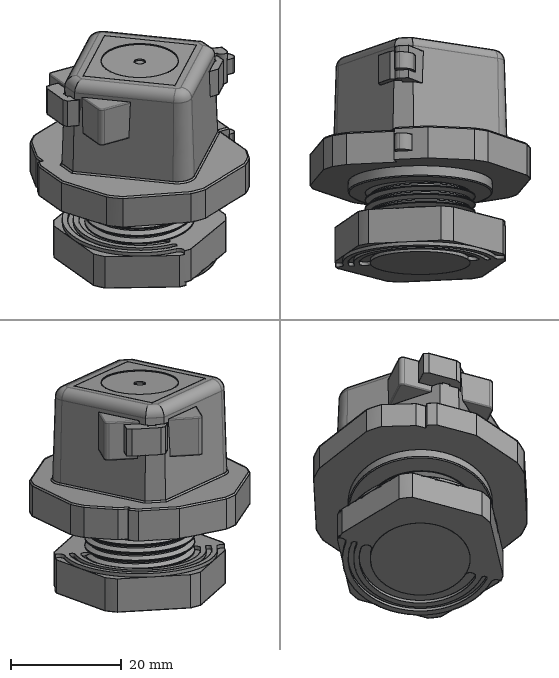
import cadquery as cq
import math

nut_height = 7.0
thread_length = 6.0
collar_height = 1.95
flange_height = 6.0
total_height = 38.7
collar_bottom = nut_height + thread_length
flange_bottom = collar_bottom + collar_height
flange_top = flange_bottom + flange_height

flange_radius = 20.0
flange_apothem = 19.0
flange_chamfer = 0.3
flange_front_y = -19.0
flange_back_y = 18.4
back_step_x = 1.05
back_step_y = 16.3
front_notch_x = -5.45
front_notch_y = -17.55

collar_radius = 13.0
collar_chamfer = 0.2
thread_radius = 9.9
thread_depth = 0.9
thread_root_radius = thread_radius - thread_depth
visible_turns = 4
thread_pitch = thread_length / visible_turns
thread_crest_width = thread_pitch / 8
thread_flank_angle = 30.0
thread_crest_z = 11.5
thread_overlap = 0.1

cap_half_width = 12.2
cap_flat_y = 15.35
cap_corner_radius = 3.2
cap_draft_angle = 1.8
cap_top_fillet = 2.0
cap_foot = 0.3
cap_foot_angle = 45.0

plate_side = 17.0
plate_thickness = 0.5
plate_recess_diameter = 13.9
plate_recess_depth = 0.2
plate_hole_diameter = 2.0

guard_half_span = 9.0
guard_front_y = -13.9
guard_bottom = 28.9
guard_top = 36.1
guard_corner_radius = 0.8
guard_edge_fillet = 0.2

catch_bottom = 30.4
catch_top = 35.5
hook_bottom = 30.0
hook_top = 36.0
knob_height = 3.0
knob_right_x = 0.8

nut_apothem = 14.0
nut_corner_radius = 15.5
groove_depth = 0.7
narrow_groove_width = 1.0
wide_groove_width = 2.0
grooves = [(9.0, wide_groove_width), (12.0, narrow_groove_width), (14.0, wide_groove_width)]


def disc(radius, bottom, height):
    return cq.Workplane("XY").workplane(offset=bottom).circle(radius).extrude(height)


def corner_cut_polygon(sides, apothem, corner_radius, bottom, height):
    """Regular prism with a corner on +X, its corners turned to a cylinder."""
    across_corners = 2 * apothem / math.cos(math.pi / sides)
    prism = cq.Workplane("XY").workplane(offset=bottom).polygon(sides, across_corners).extrude(height)
    return prism.intersect(disc(corner_radius, bottom, height))


def flange_cutter(x_min, x_max, y_min, y_max):
    size = (x_max - x_min, y_max - y_min, flange_height)
    corner = (x_min, y_min, flange_bottom)
    return cq.Workplane("XY").box(*size, centered=False).translate(corner)


def make_flange():
    outer = 2 * flange_radius
    flange = corner_cut_polygon(8, flange_apothem, flange_radius, flange_bottom, flange_height)
    flange = flange.cut(flange_cutter(-outer, outer, -outer, flange_front_y))
    flange = flange.cut(flange_cutter(-outer, front_notch_x, -outer, front_notch_y))
    flange = flange.cut(flange_cutter(-outer, outer, flange_back_y, outer))
    flange = flange.cut(flange_cutter(back_step_x, outer, back_step_y, outer))
    return flange.faces(">Z").chamfer(flange_chamfer)


def make_collar():
    collar = disc(collar_radius, collar_bottom, collar_height)
    return collar.faces("<Z").chamfer(collar_chamfer)


def make_shank():
    """Shank with a right-hand thread from the collar to the groove floor of the nut, plain below."""
    ridge_foot_radius = thread_root_radius - thread_overlap
    flank_rise = (thread_radius - ridge_foot_radius) * math.tan(math.radians(thread_flank_angle))
    half_crest = thread_crest_width / 2
    half_foot = half_crest + flank_rise
    top = collar_bottom + thread_overlap
    bottom = nut_height - groove_depth
    helix_start = thread_crest_z - (visible_turns + 1) * thread_pitch
    helix_height = (visible_turns + 3) * thread_pitch
    helix = cq.Workplane(obj=cq.Wire.makeHelix(thread_pitch, helix_height, thread_root_radius))
    ridge = (
        cq.Workplane("XZ")
        .polyline([
            (ridge_foot_radius, -half_foot),
            (thread_radius, -half_crest),
            (thread_radius, half_crest),
            (ridge_foot_radius, half_foot),
        ])
        .close()
        .sweep(helix, isFrenet=True)
        .translate((0, 0, helix_start))
    )
    threaded = disc(thread_root_radius, bottom - thread_pitch, top - bottom + 2 * thread_pitch).union(ridge)
    threaded = threaded.intersect(disc(2 * thread_radius, bottom, top - bottom))
    return threaded.union(disc(thread_root_radius, 0, bottom))


def cap_outline(margin):
    """Square on its corner, grown by a margin: rounded toward +X and -X, cut flat toward +Y and -Y."""
    corner_radius = cap_corner_radius + margin
    flat_y = cap_flat_y + margin
    vertex = (cap_half_width + margin) * math.sqrt(2)
    flat_x = vertex - flat_y
    round_y = corner_radius / math.sqrt(2)
    round_x = vertex - round_y
    tip_x = vertex - corner_radius * (math.sqrt(2) - 1)
    return (
        cq.Workplane("XY")
        .workplane(offset=flange_top)
        .moveTo(flat_x, flat_y)
        .lineTo(round_x, round_y)
        .threePointArc((tip_x, 0), (round_x, -round_y))
        .lineTo(flat_x, -flat_y)
        .lineTo(-flat_x, -flat_y)
        .lineTo(-round_x, -round_y)
        .threePointArc((-tip_x, 0), (-round_x, round_y))
        .lineTo(-flat_x, flat_y)
        .close()
    )


def make_cap():
    cap = cap_outline(0).extrude(total_height - flange_top, taper=cap_draft_angle)
    cap = cap.faces(">Z").edges().fillet(cap_top_fillet)
    foot = cap_outline(cap_foot).extrude(cap_foot, taper=cap_foot_angle)
    return cap.union(foot)


def make_guards():
    """Two blocks beside the front corner, formed by one bar passing through the cap."""
    height = guard_top - guard_bottom
    bar = (
        cq.Workplane("XY")
        .box(2 * guard_half_span, -guard_front_y, height, centered=(True, False, False))
        .translate((0, guard_front_y, guard_bottom))
    )
    bar = bar.edges("|Z and <Y").fillet(guard_corner_radius)
    bar = bar.faces("<Z or >Z").edges().fillet(guard_edge_fillet)
    half_depth = guard_half_span
    keep = (
        cq.Workplane("XY")
        .workplane(offset=guard_bottom)
        .polyline([(-half_depth, 2 * guard_front_y), (half_depth, 2 * guard_front_y),
                   (half_depth, -4), (0, 0), (-half_depth, -4)])
        .close()
        .extrude(height)
    )
    return bar.intersect(keep)


def make_front_catch():
    """Strap across the front corner with a slit behind it."""
    outline = [
        (-5.5, -12.0), (-5.5, -16.4), (-4.5, -16.8), (0.8, -16.8), (1.65, -16.4), (2.45, -14.4),
        (2.45, -12.0), (0.1, -12.0), (0.1, -15.35), (-1.3, -15.35), (-1.3, -12.0),
    ]
    strap = cq.Workplane("XY").workplane(offset=catch_bottom).polyline(outline).close()
    return strap.extrude(catch_top - catch_bottom)


def make_back_catch():
    """Strap over the back corner, standing clear of the corner flat."""
    outline = [
        (0.1, 16.35), (2.25, 16.35), (4.9, 13.65), (4.9, 11.2), (1.75, 14.4), (1.75, 15.1), (0.1, 15.1),
    ]
    strap = cq.Workplane("XY").workplane(offset=catch_bottom).polyline(outline).close()
    return strap.extrude(catch_top - catch_bottom)


def make_hook():
    """Round-nosed hook at the back corner of the cap."""
    return (
        cq.Workplane("XY")
        .workplane(offset=hook_bottom)
        .moveTo(-3.6, 12.4)
        .lineTo(-1.55, flange_back_y)
        .lineTo(0.1, flange_back_y)
        .threePointArc((1.05, 17.35), (0.1, 16.35))
        .lineTo(0.1, 12.4)
        .close()
        .extrude(hook_top - hook_bottom)
    )


def make_knob(middle_z):
    """Domed knob pointing backward, rooted in the hook or in the flange."""
    return (
        cq.Workplane("XY")
        .workplane(offset=middle_z - knob_height / 2)
        .moveTo(-2.0, 16.0)
        .lineTo(-2.45, 16.4)
        .lineTo(-2.45, 17.6)
        .threePointArc((-1.65, 19.35), (-0.25, flange_radius))
        .threePointArc((0.55, 19.7), (knob_right_x, 19.15))
        .lineTo(knob_right_x, 17.6)
        .close()
        .extrude(knob_height)
    )


def make_housing(shank):
    housing = make_flange().union(make_collar()).union(shank)
    housing = housing.union(make_cap())
    housing = housing.union(make_guards())
    housing = housing.union(make_front_catch())
    housing = housing.union(make_hook()).union(make_back_catch())
    for middle_z in ((hook_bottom + hook_top) / 2, (flange_bottom + flange_top) / 2):
        housing = housing.union(make_knob(middle_z))
    return housing.cut(plate_blank())


def plate_blank():
    return (
        cq.Workplane("XY")
        .rect(plate_side, plate_side)
        .extrude(plate_thickness)
        .rotate((0, 0, 0), (0, 0, 1), 45)
        .translate((0, 0, total_height - plate_thickness))
    )


def make_label_plate():
    recess = disc(plate_recess_diameter / 2, total_height - plate_recess_depth, plate_recess_depth)
    hole = disc(plate_hole_diameter / 2, total_height - plate_thickness, plate_thickness)
    return plate_blank().cut(recess).cut(hole)


def nut_groove(inner_radius, width):
    """Half-ring groove with round ends that touch the XZ plane."""
    middle_radius = inner_radius + width / 2
    outer_radius = inner_radius + width
    end_angle = math.asin(width / 2 / middle_radius)
    cos_end = math.cos(end_angle)
    sin_end = math.sin(end_angle)
    tip_x = middle_radius * cos_end + width / 2 * sin_end
    tip_y = width / 2 * cos_end - middle_radius * sin_end
    return (
        cq.Workplane("XY")
        .workplane(offset=nut_height - groove_depth)
        .moveTo(-outer_radius * cos_end, -outer_radius * sin_end)
        .threePointArc((0, -outer_radius), (outer_radius * cos_end, -outer_radius * sin_end))
        .threePointArc((tip_x, tip_y), (inner_radius * cos_end, -inner_radius * sin_end))
        .threePointArc((0, -inner_radius), (-inner_radius * cos_end, -inner_radius * sin_end))
        .threePointArc((-tip_x, tip_y), (-outer_radius * cos_end, -outer_radius * sin_end))
        .close()
        .extrude(groove_depth)
    )


def make_nut(shank):
    """Hexagon nut, grooved on top and, turned over about X, on the underside."""
    nut = corner_cut_polygon(6, nut_apothem, nut_corner_radius, 0, nut_height)
    middle = nut_height / 2
    for inner_radius, width in grooves:
        groove = nut_groove(inner_radius, width)
        nut = nut.cut(groove)
        nut = nut.cut(groove.rotate((0, 0, middle), (1, 0, middle), 180))
    return nut.cut(shank)


shank = make_shank()
housing = make_housing(shank)
label_plate = make_label_plate()
nut = make_nut(shank)

result = cq.Compound.makeCompound([housing.solids().val(), label_plate.solids().val(), nut.solids().val()])